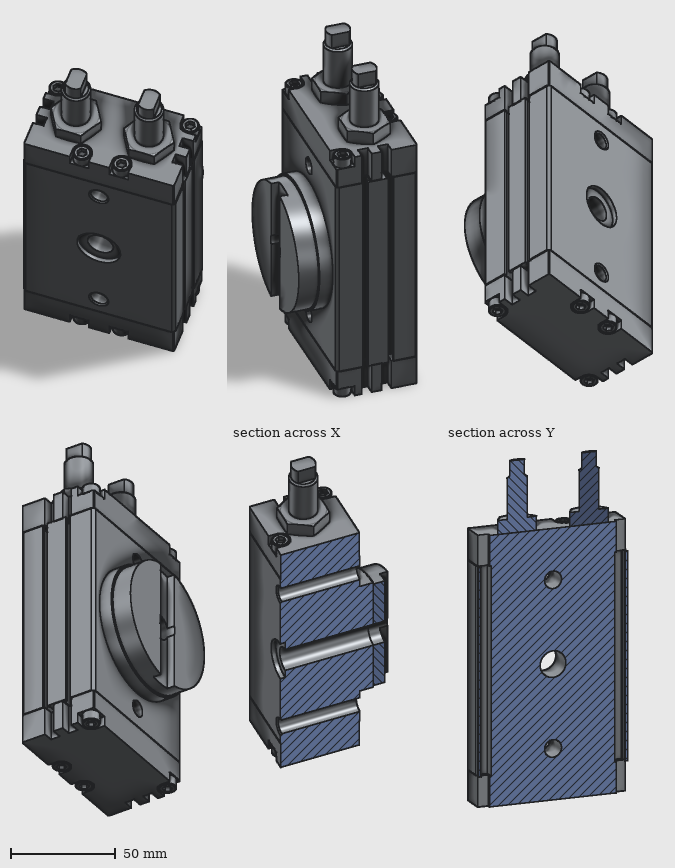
import cadquery as cq
import math


BODY_WIDTH = 77.0
BODY_DEPTH = 41.5
BODY_CHAMFER = 1.5
HOUSING_HEIGHT = 135.5
CAP_HEIGHT = 15.5
CAP_SIDE_INSET = 0.5
CAP_FACE_INSET = 0.25
CAP_CHAMFER = 0.5
BODY_HEIGHT = HOUSING_HEIGHT - 2 * CAP_HEIGHT
CAP_WIDTH = BODY_WIDTH - 2 * CAP_SIDE_INSET
CAP_DEPTH = BODY_DEPTH - 2 * CAP_FACE_INSET
MID_DEPTH = BODY_DEPTH / 2

GROOVE_MOUTHS = (12.4, 25.4)
GROOVE_MOUTH_WIDTH = 2.6
GROOVE_LIP = 1.5
GROOVE_DEPTH = 6.5
GROOVE_WIDEN_FRONT = 1.6
GROOVE_WIDEN_BACK = 0.6

CAP_SLOTS = (13.3, 23.4)
CAP_SLOT_WIDTH = 5.0
CAP_SLOT_DEPTH = 5.4

CENTRE_HOLE = 13.0
CENTRE_RECESS = 22.0
CENTRE_RECESS_DEPTH = 2.5
MOUNT_HOLE = 8.5
MOUNT_HOLE_MOUTH = 10.0
MOUNT_HOLE_SPACING = 84.0
MOUNT_CHAMFER = (MOUNT_HOLE_MOUTH - MOUNT_HOLE) / 2

POCKET_RADIUS = 4.8
POCKET_DEPTH = 5.3
FRONT_SCREW_X = 10.0
FRONT_SCREW_Y = 4.5
CORNER_SCREW_X = 33.5
CORNER_SCREW_Y = 36.75
HEAD_DIAMETER = 8.5
HEAD_CHAMFER = 0.5
SOCKET_CORNERS = 4.92
SOCKET_SIDES = 6
SOCKET_DEPTH = 2.5

BOSS_DIAMETER = 67.0
BOSS_TOP = 48.5
BOSS_CHAMFER = 0.3
TABLE_DIAMETER = 65.0
TABLE_TOP = 58.5
TABLE_SLOT_WIDTH = 12.0
TABLE_SLOT_DEPTH = 4.0

ADJUSTER_X = 18.5
ADJUSTER_Y = 20.0
ADJUSTER_HEIGHT = 36.0
NUT_ACROSS_FLATS = 22.0
NUT_SIDES = 6
NUT_HEIGHT = 7.0
NUT_CHAMFER_ANGLE = 15.0
STEM_DIAMETER = 14.0
STEM_CHAMFER = 1.0
TIP_DIAMETER = STEM_DIAMETER - 2 * STEM_CHAMFER
TIP_ACROSS_FLATS = 8.0
TIP_LENGTH = 7.5


def block(x_range, y_range, z_range):
    """Box between the given limits."""
    sizes = [high - low for low, high in (x_range, y_range, z_range)]
    corner = (x_range[0], y_range[0], z_range[0])
    return cq.Workplane("XY").box(*sizes, centered=False).translate(corner)


def cylinder_along_y(diameter, y_start, y_end, z=0.0):
    """Cylinder about a line parallel to Y."""
    plane = cq.Workplane("XZ", origin=(0, y_start, z))
    return plane.circle(diameter / 2).extrude(y_start - y_end)


def prism(width, depth, chamfer, z_bottom, z_top):
    """Upright prism centred on the housing, with chamfered vertical edges."""
    plane = cq.Workplane("XY", origin=(0, MID_DEPTH, z_bottom))
    return plane.rect(width, depth).extrude(z_top - z_bottom).edges("|Z").chamfer(chamfer)


def both_sides(shape):
    """The shape together with its mirror image in the plane x = 0."""
    return shape.union(shape.mirror("YZ"))


def sensor_groove(mouth):
    """Lipped groove in the +X side, starting at depth y = mouth."""
    side = BODY_WIDTH / 2
    heights = (-BODY_HEIGHT / 2, BODY_HEIGHT / 2)
    mouth_end = mouth + GROOVE_MOUTH_WIDTH
    opening = block((side - GROOVE_DEPTH, side), (mouth, mouth_end), heights)
    wide_part = block(
        (side - GROOVE_DEPTH, side - GROOVE_LIP),
        (mouth - GROOVE_WIDEN_FRONT, mouth_end + GROOVE_WIDEN_BACK),
        heights,
    )
    return opening.union(wide_part)


def make_middle():
    """Extruded section between the caps, grooved along both sides."""
    middle = prism(BODY_WIDTH, BODY_DEPTH, BODY_CHAMFER, -BODY_HEIGHT / 2, BODY_HEIGHT / 2)
    for mouth in GROOVE_MOUTHS:
        middle = middle.cut(both_sides(sensor_groove(mouth)))
    return middle


def screw_pocket(x, y, openings):
    """Round pocket in the cap top, widened by boxes (x range, y range) out to the cap faces."""
    z_range = (HOUSING_HEIGHT / 2 - POCKET_DEPTH, HOUSING_HEIGHT / 2)
    floor = cq.Workplane("XY", origin=(x, y, z_range[0]))
    pocket = floor.circle(POCKET_RADIUS).extrude(POCKET_DEPTH)
    for x_range, y_range in openings:
        pocket = pocket.union(block(x_range, y_range, z_range))
    return pocket


def screw_head(x, y):
    """Socket head standing on the pocket floor, flush with the cap top."""
    floor = cq.Workplane("XY", origin=(x, y, HOUSING_HEIGHT / 2 - POCKET_DEPTH))
    head = floor.circle(HEAD_DIAMETER / 2).extrude(POCKET_DEPTH).faces(">Z").chamfer(HEAD_CHAMFER)
    return head.faces(">Z").workplane().polygon(SOCKET_SIDES, SOCKET_CORNERS).cutBlind(-SOCKET_DEPTH)


def make_upper_cap():
    """Upper cap with side slots and four sunk socket screws."""
    side = CAP_WIDTH / 2
    cap = prism(CAP_WIDTH, CAP_DEPTH, CAP_CHAMFER, BODY_HEIGHT / 2, HOUSING_HEIGHT / 2)

    for slot in CAP_SLOTS:
        cutter = block(
            (side - CAP_SLOT_DEPTH, side),
            (slot, slot + CAP_SLOT_WIDTH),
            (BODY_HEIGHT / 2, HOUSING_HEIGHT / 2),
        )
        cap = cap.cut(both_sides(cutter))

    front_opening = (
        (FRONT_SCREW_X - POCKET_RADIUS, FRONT_SCREW_X + POCKET_RADIUS),
        (0, FRONT_SCREW_Y),
    )
    front_pocket = screw_pocket(FRONT_SCREW_X, FRONT_SCREW_Y, [front_opening])
    back_opening = ((CORNER_SCREW_X - POCKET_RADIUS, side), (CORNER_SCREW_Y, BODY_DEPTH))
    side_opening = ((CORNER_SCREW_X, side), (CORNER_SCREW_Y - POCKET_RADIUS, BODY_DEPTH))
    corner_pocket = screw_pocket(CORNER_SCREW_X, CORNER_SCREW_Y, [back_opening, side_opening])
    cap = cap.cut(both_sides(front_pocket)).cut(both_sides(corner_pocket))

    for x, y in ((FRONT_SCREW_X, FRONT_SCREW_Y), (CORNER_SCREW_X, CORNER_SCREW_Y)):
        cap = cap.union(both_sides(screw_head(x, y)))
    return cap


def mounting_hole(z):
    """Through hole chamfered at the front face."""
    hole = cylinder_along_y(MOUNT_HOLE, 0, BODY_DEPTH, z)
    mouth = cq.Solid.makeCone(
        MOUNT_HOLE_MOUTH / 2, MOUNT_HOLE / 2, MOUNT_CHAMFER, cq.Vector(0, 0, z), cq.Vector(0, 1, 0)
    )
    return hole.union(cq.Workplane(mouth))


def make_housing():
    """Middle section, both caps and the round boss, with the holes through the front face."""
    upper_cap = make_upper_cap()
    housing = make_middle().union(upper_cap).union(upper_cap.mirror("XY"))
    boss = cylinder_along_y(BOSS_DIAMETER, BODY_DEPTH, BOSS_TOP).faces(">Y").chamfer(BOSS_CHAMFER)
    housing = housing.union(boss)
    housing = housing.cut(cylinder_along_y(CENTRE_HOLE, 0, BOSS_TOP))
    housing = housing.cut(cylinder_along_y(CENTRE_RECESS, 0, CENTRE_RECESS_DEPTH))
    for z in (-MOUNT_HOLE_SPACING / 2, MOUNT_HOLE_SPACING / 2):
        housing = housing.cut(mounting_hole(z))
    return housing


def make_table():
    """Disc on the boss, with a slot across its face and the centre hole through it."""
    radius = TABLE_DIAMETER / 2
    table = cylinder_along_y(TABLE_DIAMETER, BOSS_TOP, TABLE_TOP)
    slot = block(
        (-TABLE_SLOT_WIDTH / 2, TABLE_SLOT_WIDTH / 2),
        (TABLE_TOP - TABLE_SLOT_DEPTH, TABLE_TOP),
        (-radius, radius),
    )
    return table.cut(slot).cut(cylinder_along_y(CENTRE_HOLE, BOSS_TOP, TABLE_TOP))


def make_nut():
    """Hexagon with flats facing Y and corners turned off at both ends."""
    corners = NUT_ACROSS_FLATS / math.cos(math.pi / NUT_SIDES)
    drop = (corners - NUT_ACROSS_FLATS) / 2 * math.tan(math.radians(NUT_CHAMFER_ANGLE))
    hexagon = cq.Workplane("XY").polygon(NUT_SIDES, corners).extrude(NUT_HEIGHT)
    turned_profile = [
        (0, 0),
        (NUT_ACROSS_FLATS / 2, 0),
        (corners / 2, drop),
        (corners / 2, NUT_HEIGHT - drop),
        (NUT_ACROSS_FLATS / 2, NUT_HEIGHT),
        (0, NUT_HEIGHT),
    ]
    turned = cq.Workplane("XZ").polyline(turned_profile).close().revolve()
    return hexagon.intersect(turned)


def make_adjuster(x):
    """Nut, round stem and a tip with two flats facing X."""
    stem_top = ADJUSTER_HEIGHT - TIP_LENGTH
    stem = cq.Workplane("XY").circle(STEM_DIAMETER / 2).extrude(stem_top)
    stem = stem.faces(">Z").chamfer(STEM_CHAMFER)
    flats = cq.Workplane("XY").rect(TIP_ACROSS_FLATS, TIP_DIAMETER).extrude(ADJUSTER_HEIGHT)
    tip = cq.Workplane("XY").circle(TIP_DIAMETER / 2).extrude(ADJUSTER_HEIGHT).intersect(flats)
    adjuster = make_nut().union(stem).union(tip)
    return adjuster.translate((x, ADJUSTER_Y, HOUSING_HEIGHT / 2))


housing = make_housing()
table = make_table()
adjusters = [make_adjuster(x) for x in (-ADJUSTER_X, ADJUSTER_X)]

result = cq.Compound.makeCompound(
    [housing.val(), table.val()] + [adjuster.val() for adjuster in adjusters]
)